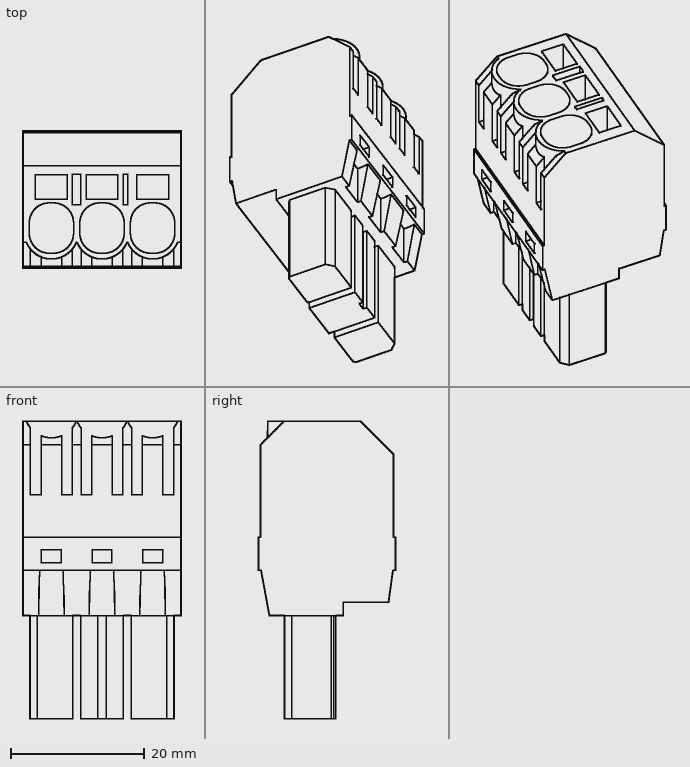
import cadquery as cq

width = 23.8
depth = 20.6
height = 44.7
pitch = 7.6
poles = 3
pole_xs = [(i - (poles - 1) / 2) * pitch for i in range(poles)]

body_half_depth = 10.0
band_half_depth = depth / 2
band_top = 27.25
band_bottom = 22.3
back_chamfer = 4.95
front_chamfer = 3.58
taper_start = 9.92
housing_bottom = 15.5
front_bottom_y = -8.65
step_y = 2.45
step_z = 17.5
back_bottom_y = 9.25

bore_y = -4.3
bore_width = 6.65
bore_length = 7.55
bore_corner_radius = 3.0
collar_y = -4.85
collar_radius = 4.05
entry_floor = 33.65

slot_width = 6.3
tab_width = 3.05

pocket_width = 4.8
pocket_length = 3.6
pocket_y = 1.88
narrow_length = 4.55
narrow_y = 1.5
narrow_slots = [(-3.85, 1.25), (3.55, 0.65)]

window_width = 3.0
window_bottom = 23.42
window_height = 1.95
window_depth = 1.25

recess_front_width = 3.55
recess_back_width = 3.85
recess_back_y = -8.1

prong_width = 6.45
prong_front = -6.4
centre_prong_back = 1.35
outer_prong_back = 1.05
prong_front_chamfer = 1.07
prong_back_chamfer = 0.35
groove_width = 1.35
groove_depth = 0.63


def box(x, y_min, y_max, z_min, z_max, size_x):
    """Box centred on x along X, between the given Y and Z limits."""
    block = cq.Workplane("XY").box(size_x, y_max - y_min, z_max - z_min, centered=(True, False, False))
    return block.translate((x, y_min, z_min))


def collar(x):
    column = cq.Workplane("XY", origin=(x, collar_y, entry_floor))
    return column.circle(collar_radius).extrude(height - entry_floor)


def housing():
    outline = [
        (body_half_depth - back_chamfer, height),
        (body_half_depth, height - back_chamfer),
        (body_half_depth, band_top),
        (band_half_depth, band_top),
        (band_half_depth, band_bottom),
        (taper_start, band_bottom),
        (back_bottom_y, step_z),
        (step_y, step_z),
        (step_y, housing_bottom),
        (front_bottom_y, housing_bottom),
        (-taper_start, band_bottom),
        (-band_half_depth, band_bottom),
        (-band_half_depth, band_top),
        (-body_half_depth, band_top),
        (-body_half_depth, height - front_chamfer),
        (-body_half_depth + front_chamfer, height),
    ]
    return cq.Workplane("YZ").polyline(outline).close().extrude(width / 2, both=True)


def collar_slots(x):
    """Space in front of a collar, on both sides of the central tab."""
    limits = (-body_half_depth, collar_y, entry_floor, height)
    space = box(x, *limits, slot_width)
    tab = box(x, *limits, tab_width)
    return space.cut(tab).cut(collar(x))


def wire_bore(x):
    y_min = bore_y - bore_length / 2
    block = box(x, y_min, y_min + bore_length, entry_floor, height, bore_width)
    return block.edges("|Z").fillet(bore_corner_radius)


def top_pocket(x, y, size_x, size_y):
    return box(x, y - size_y / 2, y + size_y / 2, entry_floor, height, size_x)


def window(x):
    back = -band_half_depth + window_depth
    return box(x, -band_half_depth, back, window_bottom, window_bottom + window_height, window_width)


def front_recess(x):
    """Upright notch, symmetric about x, that splays out down to the foot of the taper."""
    half_front = recess_front_width / 2
    half_back = recess_back_width / 2
    outline = [
        (-half_front, -taper_start),
        (-half_back, front_bottom_y),
        (-half_back, recess_back_y),
        (half_back, recess_back_y),
        (half_back, front_bottom_y),
        (half_front, -taper_start),
    ]
    plan = cq.Workplane("XY", origin=(x, 0, housing_bottom)).polyline(outline).close()
    return plan.extrude(band_bottom - housing_bottom)


def centre_prong():
    prong = box(0, prong_front, centre_prong_back, 0, housing_bottom, prong_width)
    groove = box(0, prong_front, prong_front + groove_depth, 0, housing_bottom, groove_width)
    return prong.cut(groove)


def left_prong():
    """Outer prong on the -X side, chamfered along its two outer edges."""
    prong = box(pole_xs[0], prong_front, outer_prong_back, 0, housing_bottom, prong_width)
    prong = prong.faces("<Y").edges("<X").chamfer(prong_front_chamfer)
    return prong.faces(">Y").edges("<X").chamfer(prong_back_chamfer)


result = housing()
for pole_x in pole_xs:
    result = result.cut(collar_slots(pole_x))
for pole_x in pole_xs:
    result = result.union(collar(pole_x))
for pole_x in pole_xs:
    result = result.cut(wire_bore(pole_x))
    result = result.cut(top_pocket(pole_x, pocket_y, pocket_width, pocket_length))
    result = result.cut(window(pole_x))
    result = result.cut(front_recess(pole_x))
for slot_x, slot_size in narrow_slots:
    result = result.cut(top_pocket(slot_x, narrow_y, slot_size, narrow_length))

outer_prong = left_prong()
result = result.union(outer_prong)
result = result.union(outer_prong.mirror("YZ"))
result = result.union(centre_prong())